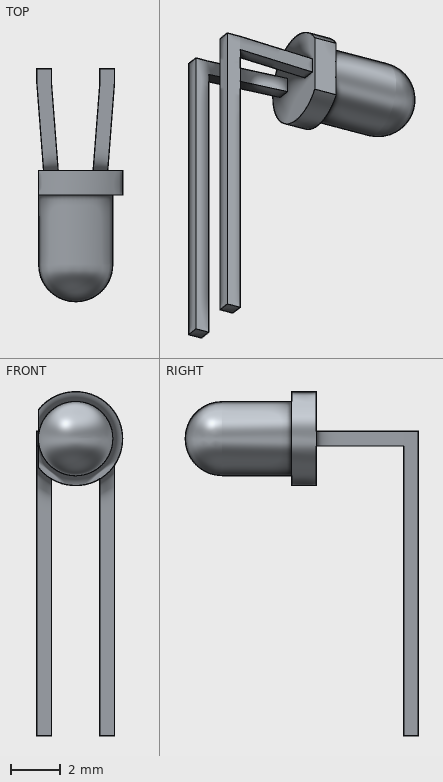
import cadquery as cq

LENS_DIAMETER = 3.0
LENS_RADIUS = LENS_DIAMETER / 2
LENS_STRAIGHT_LENGTH = 2.8

FLANGE_RADIUS = 1.9
FLANGE_THICKNESS = 1.0
FLAT_X = -LENS_RADIUS

LEAD_WIDTH = 0.6
LEAD_PITCH_AT_FLANGE = 2.0
LEAD_PITCH_AT_BEND = 2.54
LEAD_REACH = 4.11
LEAD_BOTTOM_Z = -11.99

FLANGE_FRONT_Y = -FLANGE_THICKNESS
DOME_CENTER_Y = FLANGE_FRONT_Y - LENS_STRAIGHT_LENGTH
LENS_TIP_Y = DOME_CENTER_Y - LENS_RADIUS


def make_lens():
    """Revolve the half profile of the lens about the Y axis."""
    dome_offset = LENS_RADIUS * 0.5 ** 0.5
    return (
        cq.Workplane("XY")
        .moveTo(0, FLANGE_FRONT_Y)
        .lineTo(LENS_RADIUS, FLANGE_FRONT_Y)
        .lineTo(LENS_RADIUS, DOME_CENTER_Y)
        .threePointArc((dome_offset, DOME_CENTER_Y - dome_offset), (0, LENS_TIP_Y))
        .close()
        .revolve(360, (0, 0, 0), (0, 1, 0))
    )


def make_flange():
    """Round disc cut off flat on its -X side."""
    flat_half_height = (FLANGE_RADIUS**2 - FLAT_X**2) ** 0.5
    return (
        cq.Workplane("XZ")
        .moveTo(FLAT_X, -flat_half_height)
        .threePointArc((FLANGE_RADIUS, 0), (FLAT_X, flat_half_height))
        .close()
        .extrude(FLANGE_THICKNESS)
    )


def make_lead(side):
    """Lead on one side (-1 or +1): a slanted arm ending in a vertical leg."""
    start_x = side * LEAD_PITCH_AT_FLANGE / 2
    leg_x = side * LEAD_PITCH_AT_BEND / 2
    half_width = LEAD_WIDTH / 2
    leg_front_y = LEAD_REACH - LEAD_WIDTH
    arm = (
        cq.Workplane("XY", origin=(0, 0, -half_width))
        .moveTo(start_x - half_width, 0)
        .lineTo(start_x + half_width, 0)
        .lineTo(leg_x + half_width, leg_front_y)
        .lineTo(leg_x - half_width, leg_front_y)
        .close()
        .extrude(LEAD_WIDTH)
    )
    leg = (
        cq.Workplane("XY", origin=(leg_x, LEAD_REACH - half_width, LEAD_BOTTOM_Z))
        .rect(LEAD_WIDTH, LEAD_WIDTH)
        .extrude(half_width - LEAD_BOTTOM_Z)
    )
    return arm.union(leg)


result = make_lens().union(make_flange())
for lead_side in (-1, 1):
    result = result.union(make_lead(lead_side))